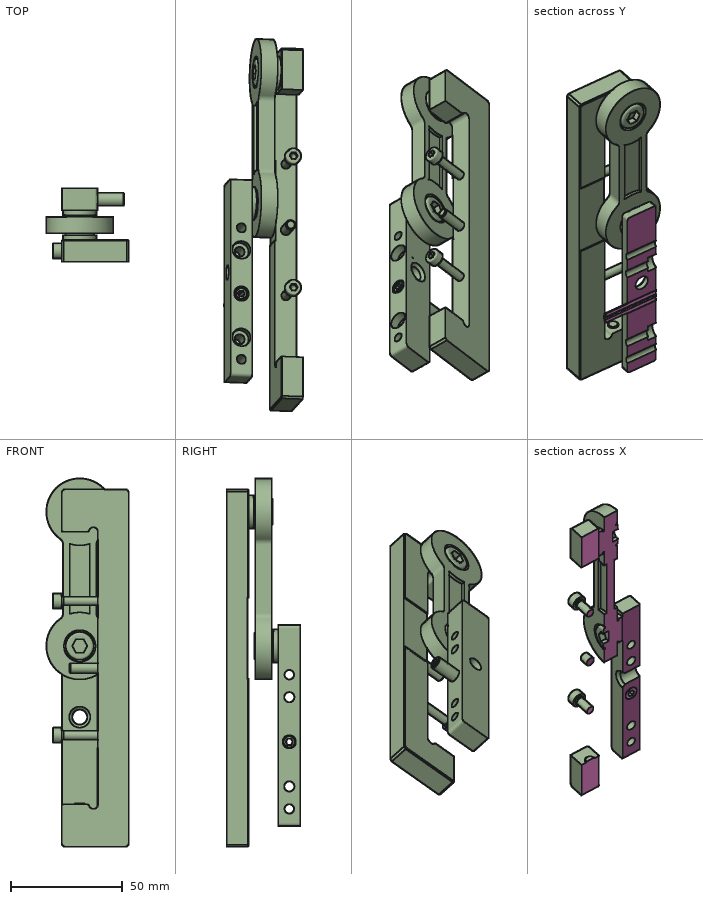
import cadquery as cq
import math

PLATE_DEPTH = 9.9
FLANGE_LENGTH = 2.1
NECK_LENGTH = 0.75
ARM_DEPTH = 7.5
PIVOT_TOP_Z = 150.0
PIVOT_SPACING = 60.0
PIVOT_LOW_Z = PIVOT_TOP_Z - PIVOT_SPACING
PIVOT_STANDOFF = FLANGE_LENGTH + NECK_LENGTH
ARM_FRONT_Y = PLATE_DEPTH + PIVOT_STANDOFF
ARM_BACK_Y = ARM_FRONT_Y + ARM_DEPTH
BAR_FRONT_Y = ARM_BACK_Y + PIVOT_STANDOFF
BAR_MID_Y = BAR_FRONT_Y + PLATE_DEPTH / 2
FRAME_MID_Y = PLATE_DEPTH / 2

FRAME_HEIGHT = 160.0
FRAME_LEFT_X = -8.0
FRAME_WIDTH = 30.0
FRAME_RIGHT_X = FRAME_LEFT_X + FRAME_WIDTH
SPINE_FACE_X = 8.0
JAW_HEIGHT = 19.0
CORNER_CHAMFER = 1.0
BACK_CHAMFER = 0.5
RELIEF_RADIUS = 2.0
RELIEF_LIP_RADIUS = 0.8
BACK_RECESS_DEPTH = 0.5
BACK_RECESS_BOTTOM_Z = 75.2
BACK_RECESS_TOP_Z = 111.5
JAW_TIP_DIAMETER = 5.0
JAW_TIP_HEIGHT = 0.5

LOBE_RADIUS = 15.0
STEM_WIDTH = 15.0
STEM_FILLET = 3.0
POCKET_WIDTH = 8.9
POCKET_DEPTH = 1.5
FLANGE_DIAMETER = 15.0
NECK_DIAMETER = 13.0
HEAD_DIAMETER = 12.5
HEAD_RISE = 0.5
HEAD_ROUNDING = 1.24
GROOVE_DIAMETER = 14.2
GROOVE_DEPTH = (GROOVE_DIAMETER - HEAD_DIAMETER) / 2
HEAD_HEX_FLATS = 6.0
HEAD_HEX_DEPTH = 3.0

BAR_WIDTH = 16.0
BAR_BOTTOM_Z = 9.2
BAR_TOP_Z = 99.3
BAR_CORNER = 1.5
BAR_HOLES_Z = 47.0
BOLT_HOLE_OFFSET = 20.0
BOLT_HOLE_DIAMETER = 4.5
BOLT_BORE_DIAMETER = 8.0
BOLT_BORE_DEPTH = 4.5
END_HOLE_OFFSET = 30.0
END_HOLE_DIAMETER = 4.1
CROSS_HOLE_Z = 58.0
CROSS_HOLE_DIAMETER = 6.6
CROSS_SINK_DIAMETER = 9.4

CAP_SCREW_SPACING = 60.0
CAP_SCREW_HEIGHTS = [FRAME_HEIGHT / 2 + side * CAP_SCREW_SPACING / 2 for side in (-1, 1)]
CAP_SHANK_DIAMETER = 4.0
CAP_HEAD_DIAMETER = 7.0
CAP_HEAD_LENGTH = 4.0
CAP_HEAD_LEFT_X = -12.0
CAP_HEAD_ROUNDING = 0.5
CAP_COLLAR_DIAMETER = 4.6
CAP_COLLAR_LENGTH = 0.8
CAP_HEX_FLATS = 3.0
CAP_HEX_DEPTH = 2.0
SCREW_ENGAGEMENT = 7.9
STOP_PIN_DIAMETER = 4.5
STOP_PIN_LEFT_X = -4.6
STOP_PIN_CHAMFER = 0.5
SET_SCREW_DIAMETER = 6.0
SET_SCREW_RIGHT_X = 20.0
SET_SCREW_CHAMFER = 0.5
SET_SCREW_HEX_FLATS = 2.6
SET_SCREW_MOUTH_DIAMETER = 6.6

ALONG_X = cq.Vector(1, 0, 0)
ALONG_Y = cq.Vector(0, 1, 0)
ALONG_Z = cq.Vector(0, 0, 1)


def rod(start, axis, diameter, length):
    """Cylinder that begins at start and runs along axis."""
    return cq.Workplane(cq.Solid.makeCylinder(diameter / 2, length, cq.Vector(*start), axis))


def cone(start, axis, start_diameter, end_diameter, length):
    """Truncated cone that begins at start and runs along axis."""
    solid = cq.Solid.makeCone(start_diameter / 2, end_diameter / 2, length, cq.Vector(*start), axis)
    return cq.Workplane(solid)


def hexagon(start, axis, flats, depth):
    """Hexagonal prism, two corners on the X axis when axis is Y and on the Y axis when axis is X."""
    corner_direction = ALONG_X if axis.x == 0 else ALONG_Y
    plane = cq.Plane(cq.Vector(*start), corner_direction, axis)
    return cq.Workplane(plane).polygon(6, flats / math.cos(math.pi / 6)).extrude(depth)


def block(x_range, y_range, z_range):
    """Box between three pairs of limits."""
    sizes = [high - low for low, high in (x_range, y_range, z_range)]
    corner = (x_range[0], y_range[0], z_range[0])
    return cq.Workplane("XY").box(*sizes, centered=False).translate(corner)


def make_stop_pin():
    length = SPINE_FACE_X + SCREW_ENGAGEMENT - STOP_PIN_LEFT_X
    pin = rod((STOP_PIN_LEFT_X, FRAME_MID_Y, FRAME_HEIGHT / 2), ALONG_X, STOP_PIN_DIAMETER, length)
    return pin.faces("<X").chamfer(STOP_PIN_CHAMFER)


def make_cap_screw(height):
    shoulder_x = CAP_HEAD_LEFT_X + CAP_HEAD_LENGTH
    shank_length = SPINE_FACE_X + SCREW_ENGAGEMENT - shoulder_x
    head = rod((CAP_HEAD_LEFT_X, FRAME_MID_Y, height), ALONG_X, CAP_HEAD_DIAMETER, CAP_HEAD_LENGTH)
    head = head.faces("<X").edges().fillet(CAP_HEAD_ROUNDING)
    shoulder = (shoulder_x, FRAME_MID_Y, height)
    shank = rod(shoulder, ALONG_X, CAP_SHANK_DIAMETER, shank_length)
    collar = cone(shoulder, ALONG_X, CAP_COLLAR_DIAMETER, CAP_SHANK_DIAMETER, CAP_COLLAR_LENGTH)
    socket = hexagon((CAP_HEAD_LEFT_X, FRAME_MID_Y, height), ALONG_X, CAP_HEX_FLATS, CAP_HEX_DEPTH)
    tip_start = (CAP_HEAD_LEFT_X + CAP_HEX_DEPTH, FRAME_MID_Y, height)
    socket_tip = cone(tip_start, ALONG_X, CAP_HEX_FLATS, 0, CAP_HEX_FLATS / 2)
    return head.union(shank).union(collar).cut(socket).cut(socket_tip)


def make_set_screw():
    start = (-BAR_WIDTH / 2, BAR_MID_Y, BAR_HOLES_Z)
    length = SET_SCREW_RIGHT_X + BAR_WIDTH / 2
    screw = rod(start, ALONG_X, SET_SCREW_DIAMETER, length)
    screw = screw.faces("<X or >X").chamfer(SET_SCREW_CHAMFER)
    return screw.cut(hexagon(start, ALONG_X, SET_SCREW_HEX_FLATS, length))


def corner_relief(edge_z):
    """Round relief at the inner corner of a jaw whose inner face lies at edge_z."""
    start = (SPINE_FACE_X - RELIEF_RADIUS, 0, edge_z)
    return rod(start, ALONG_Y, 2 * RELIEF_RADIUS, PLATE_DEPTH)


def make_frame():
    frame = block((FRAME_LEFT_X, FRAME_RIGHT_X), (0, PLATE_DEPTH), (0, FRAME_HEIGHT))
    frame = frame.edges("|Y").chamfer(CORNER_CHAMFER)
    frame = frame.faces(">Y").chamfer(BACK_CHAMFER)

    jaw_faces_z = (JAW_HEIGHT, FRAME_HEIGHT - JAW_HEIGHT)
    opening = block((FRAME_LEFT_X, SPINE_FACE_X), (0, PLATE_DEPTH), jaw_faces_z)
    for edge_z in jaw_faces_z:
        opening = opening.union(corner_relief(edge_z))
    frame = frame.cut(opening)
    lip_x = SPINE_FACE_X - 2 * RELIEF_RADIUS
    for edge_z in jaw_faces_z:
        lip = cq.selectors.NearestToPointSelector((lip_x, FRAME_MID_Y, edge_z))
        frame = frame.edges("|Y").edges(lip).fillet(RELIEF_LIP_RADIUS)

    back_recess = block(
        (SPINE_FACE_X, FRAME_RIGHT_X),
        (PLATE_DEPTH - BACK_RECESS_DEPTH, PLATE_DEPTH),
        (BACK_RECESS_BOTTOM_Z, BACK_RECESS_TOP_Z),
    )
    frame = frame.cut(back_recess)

    tip = cone(
        (0, FRAME_MID_Y, JAW_HEIGHT),
        ALONG_Z,
        JAW_TIP_DIAMETER,
        JAW_TIP_DIAMETER - 2 * JAW_TIP_HEIGHT,
        JAW_TIP_HEIGHT,
    )
    frame = frame.union(tip)

    frame = frame.cut(make_stop_pin())
    for height in CAP_SCREW_HEIGHTS:
        frame = frame.cut(make_cap_screw(height))
    return frame


def pivot_flange(pivot_z, arm_face_y, outward):
    """Neck and flange from an arm face to the neighbouring plate; outward is the direction along Y."""
    axis = ALONG_Y * outward
    neck = rod((0, arm_face_y, pivot_z), axis, NECK_DIAMETER, NECK_LENGTH)
    flange_start = (0, arm_face_y + outward * NECK_LENGTH, pivot_z)
    return neck.union(rod(flange_start, axis, FLANGE_DIAMETER, FLANGE_LENGTH))


def add_pivot_head(arm, pivot_z, arm_face_y, outward):
    """Rounded hex-socket head that rises out of a V groove in an arm face."""
    axis = ALONG_Y * outward
    floor = (0, arm_face_y - outward * GROOVE_DEPTH, pivot_z)
    groove = cone(floor, axis, HEAD_DIAMETER, GROOVE_DIAMETER, GROOVE_DEPTH)
    head = rod(floor, axis, HEAD_DIAMETER, GROOVE_DEPTH + HEAD_RISE)
    head = head.faces("<Y" if outward < 0 else ">Y").edges().fillet(HEAD_ROUNDING)
    top = (0, arm_face_y + outward * HEAD_RISE, pivot_z)
    socket = hexagon(top, axis * -1, HEAD_HEX_FLATS, HEAD_HEX_DEPTH)
    return arm.cut(groove).union(head).cut(socket)


def make_arm():
    pivots_z = (PIVOT_LOW_Z, PIVOT_TOP_Z)
    arm = block((-STEM_WIDTH / 2, STEM_WIDTH / 2), (ARM_FRONT_Y, ARM_BACK_Y), pivots_z)
    lobes = [rod((0, ARM_FRONT_Y, z), ALONG_Y, 2 * LOBE_RADIUS, ARM_DEPTH) for z in pivots_z]
    for lobe in lobes:
        arm = arm.union(lobe)
    joint_zone = cq.selectors.BoxSelector(
        (-STEM_WIDTH, ARM_FRONT_Y, PIVOT_LOW_Z + LOBE_RADIUS / 2),
        (STEM_WIDTH, ARM_BACK_Y, PIVOT_TOP_Z - LOBE_RADIUS / 2),
    )
    arm = arm.edges("|Y").edges(joint_zone).fillet(STEM_FILLET)

    pocket_x = (-POCKET_WIDTH / 2, POCKET_WIDTH / 2)
    for floor_y in (ARM_FRONT_Y, ARM_BACK_Y - POCKET_DEPTH):
        pocket = block(pocket_x, (floor_y, floor_y + POCKET_DEPTH), pivots_z)
        for lobe in lobes:
            pocket = pocket.cut(lobe)
        arm = arm.cut(pocket)

    for pivot_z, head_y, outward in ((PIVOT_LOW_Z, ARM_FRONT_Y, -1), (PIVOT_TOP_Z, ARM_BACK_Y, 1)):
        arm = add_pivot_head(arm, pivot_z, head_y, outward)
        flange_y = ARM_BACK_Y if outward < 0 else ARM_FRONT_Y
        arm = arm.union(pivot_flange(pivot_z, flange_y, -outward))
    return arm


def make_bar():
    left_x = -BAR_WIDTH / 2
    back_y = BAR_FRONT_Y + PLATE_DEPTH
    bar = block((left_x, -left_x), (BAR_FRONT_Y, back_y), (BAR_BOTTOM_Z, BAR_TOP_Z))
    bar = bar.edges("|Y").fillet(BAR_CORNER)

    for side in (-1, 1):
        bolt_start = (left_x, BAR_MID_Y, BAR_HOLES_Z + side * BOLT_HOLE_OFFSET)
        bar = bar.cut(rod(bolt_start, ALONG_X, BOLT_HOLE_DIAMETER, BAR_WIDTH))
        bar = bar.cut(rod(bolt_start, ALONG_X, BOLT_BORE_DIAMETER, BOLT_BORE_DEPTH))
        end_start = (left_x, BAR_MID_Y, BAR_HOLES_Z + side * END_HOLE_OFFSET)
        bar = bar.cut(rod(end_start, ALONG_X, END_HOLE_DIAMETER, BAR_WIDTH))

    cross_start = (0, BAR_FRONT_Y, CROSS_HOLE_Z)
    sink_depth = (CROSS_SINK_DIAMETER - CROSS_HOLE_DIAMETER) / 2
    bar = bar.cut(rod(cross_start, ALONG_Y, CROSS_HOLE_DIAMETER, PLATE_DEPTH))
    bar = bar.cut(cone(cross_start, ALONG_Y, CROSS_SINK_DIAMETER, CROSS_HOLE_DIAMETER, sink_depth))

    screw_start = (left_x, BAR_MID_Y, BAR_HOLES_Z)
    mouth_depth = (SET_SCREW_MOUTH_DIAMETER - SET_SCREW_DIAMETER) / 2
    mouth = cone(screw_start, ALONG_X, SET_SCREW_MOUTH_DIAMETER, SET_SCREW_DIAMETER, mouth_depth)
    bar = bar.cut(rod(screw_start, ALONG_X, SET_SCREW_DIAMETER, BAR_WIDTH))
    return bar.cut(mouth)


frame = make_frame()
arm = make_arm()
bar = make_bar()
cap_screws = [make_cap_screw(height) for height in CAP_SCREW_HEIGHTS]
stop_pin = make_stop_pin()
set_screw = make_set_screw()

result = cq.Compound.makeCompound(
    [
        frame.val(),
        arm.val(),
        bar.val(),
        *[screw.val() for screw in cap_screws],
        stop_pin.val(),
        set_screw.val(),
    ]
)